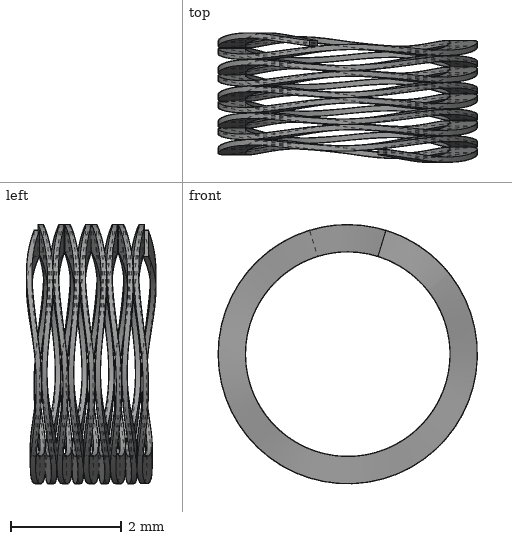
import cadquery as cq
import math

OUTER_RADIUS = 2.35
RADIAL_WIDTH = 0.5
INNER_RADIUS = OUTER_RADIUS - RADIAL_WIDTH
THICKNESS = 0.1
LENGTH = 2.35
AMPLITUDE = 0.07
TAIL_AMPLITUDE = 0.095
HALF_WAVES_PER_TURN = 7
HALF_WAVE_COUNT = 61
TAIL = 2 / 3
STEPS_PER_HALF_WAVE = 8

HALF_WAVE_ANGLE = 2 * math.pi / HALF_WAVES_PER_TURN
FIRST_CREST_ANGLE = math.pi / 2 - HALF_WAVE_ANGLE
CREST_SPAN = LENGTH - THICKNESS - 2 * AMPLITUDE
RISE_PER_HALF_WAVE = CREST_SPAN / HALF_WAVE_COUNT


def axial_position(half_waves):
    """Y of the strip's middle, at a position counted in half waves from the first crest."""
    on_helix = min(max(half_waves, 0), HALF_WAVE_COUNT)
    past_crest = half_waves - on_helix
    rise = (on_helix - HALF_WAVE_COUNT / 2) * RISE_PER_HALF_WAVE
    wave = -AMPLITUDE * math.cos(math.pi * on_helix)
    bend = TAIL_AMPLITUDE * (1 - math.cos(math.pi * past_crest))
    return rise + wave - math.copysign(bend, past_crest)


def strip_point(half_waves, radius, offset):
    """Point on the strip at a given radius and Y offset from its middle."""
    angle = FIRST_CREST_ANGLE - half_waves * HALF_WAVE_ANGLE
    y = axial_position(half_waves) + offset
    return cq.Vector(radius * math.cos(angle), y, radius * math.sin(angle))


def corner_edge(start, end, radius, offset):
    """Curve followed by one corner of the strip section."""
    step_count = math.ceil((end - start) * STEPS_PER_HALF_WAVE)
    step = (end - start) / step_count
    positions = [start + i * step for i in range(step_count + 1)]
    return cq.Edge.makeSpline([strip_point(position, radius, offset) for position in positions])


SECTION = [
    (INNER_RADIUS, -THICKNESS / 2),
    (OUTER_RADIUS, -THICKNESS / 2),
    (OUTER_RADIUS, THICKNESS / 2),
    (INNER_RADIUS, THICKNESS / 2),
]


def side_faces(start, end):
    """The four long faces of one stretch of strip."""
    edges = [corner_edge(start, end, radius, offset) for radius, offset in SECTION]
    next_edges = edges[1:] + edges[:1]
    return [cq.Face.makeRuledSurface(a, b) for a, b in zip(edges, next_edges)]


def end_face(position):
    """Flat face that closes the strip at one of its ends."""
    corners = [strip_point(position, radius, offset) for radius, offset in SECTION]
    return cq.Face.makeFromWires(cq.Wire.makePolygon(corners, close=True))


strip_start = -TAIL
strip_end = HALF_WAVE_COUNT + TAIL
top_crossings = range(HALF_WAVES_PER_TURN - 1, HALF_WAVE_COUNT, HALF_WAVES_PER_TURN)
breaks = [strip_start, 0, *top_crossings, HALF_WAVE_COUNT, strip_end]

faces = [end_face(strip_start), end_face(strip_end)]
for stretch_start, stretch_end in zip(breaks, breaks[1:]):
    faces += side_faces(stretch_start, stretch_end)

spring = cq.Solid.makeSolid(cq.Shell.makeShell(faces))
result = cq.Workplane("XY").newObject([spring])